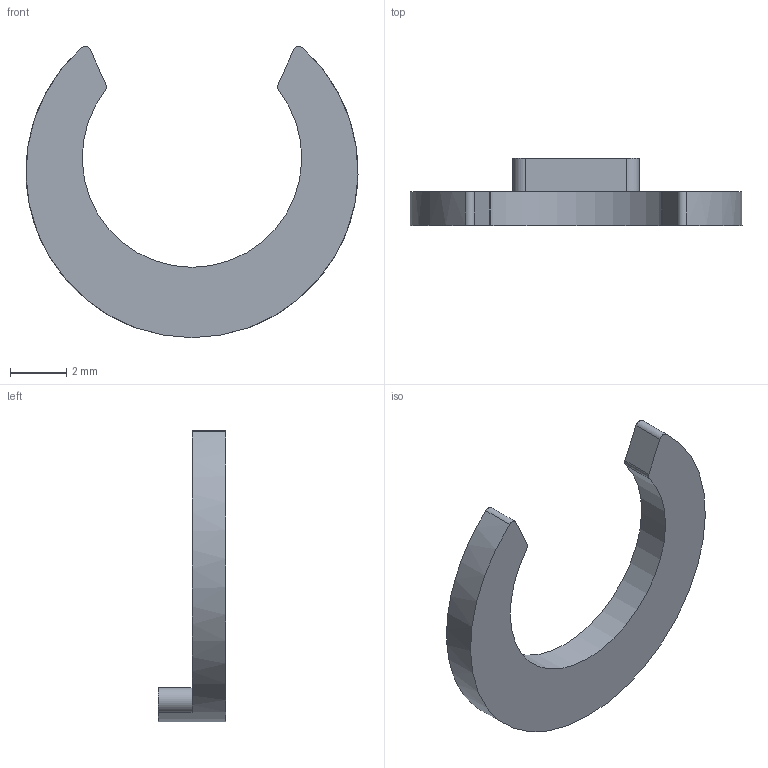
import cadquery as cq
import math

outer_radius = 5.9
inner_radius = 3.9
bore_offset = 0.5
ring_thickness = 1.2

gap_half_angle = 24.2
gap_apex_z = -3.71
tip_fillet = 0.2

tab_length = 1.2
tab_width = 4.5
tab_end_radius = 0.45

total_depth = ring_thickness + tab_length


def disc(radius, center_z):
    """Disc in the XZ plane, running from the front face to the back of the tab."""
    return (
        cq.Workplane("XZ")
        .center(0, center_z)
        .circle(radius)
        .extrude(-total_depth)
    )


def gap_half_width(z):
    return (z - gap_apex_z) * math.tan(math.radians(gap_half_angle))


def make_gap():
    """Flared wedge from the middle of the bore to the top of the outer circle."""
    low_half_width = gap_half_width(bore_offset)
    high_half_width = gap_half_width(outer_radius)
    return (
        cq.Workplane("XZ")
        .moveTo(-low_half_width, bore_offset)
        .lineTo(low_half_width, bore_offset)
        .lineTo(high_half_width, outer_radius)
        .lineTo(-high_half_width, outer_radius)
        .close()
        .extrude(-total_depth)
    )


def make_open_ring():
    """Open ring of the full depth, with the four corners of its tips rounded."""
    ring = disc(outer_radius, 0).cut(disc(inner_radius, bore_offset)).cut(make_gap())
    tip_zone = cq.selectors.BoxSelector(
        (-outer_radius, 0, bore_offset + tip_fillet),
        (outer_radius, total_depth, outer_radius),
    )
    return ring.edges("|Y").edges(tip_zone).fillet(tip_fillet)


def make_tab_envelope():
    """Prism with the tab's top and rounded ends, reaching down past the outer circle."""
    end_center_distance = outer_radius - tab_end_radius
    end_center_x = tab_width / 2 - tab_end_radius
    end_center_z = -math.sqrt(end_center_distance**2 - end_center_x**2)
    tab_top_z = end_center_z + tab_end_radius
    tangent_x = end_center_x * outer_radius / end_center_distance
    tangent_z = end_center_z * outer_radius / end_center_distance

    return (
        cq.Workplane("XZ")
        .moveTo(-end_center_x, tab_top_z)
        .lineTo(end_center_x, tab_top_z)
        .threePointArc((tab_width / 2, end_center_z), (tangent_x, tangent_z))
        .lineTo(tangent_x, -outer_radius)
        .lineTo(-tangent_x, -outer_radius)
        .lineTo(-tangent_x, tangent_z)
        .threePointArc((-tab_width / 2, end_center_z), (-end_center_x, tab_top_z))
        .close()
        .extrude(-total_depth)
    )


def make_plate_envelope():
    """Slab of the ring's own thickness, covering the whole ring."""
    side = 2 * outer_radius
    return cq.Workplane("XZ").rect(side, side).extrude(-ring_thickness)


result = make_open_ring().intersect(make_plate_envelope().union(make_tab_envelope()))